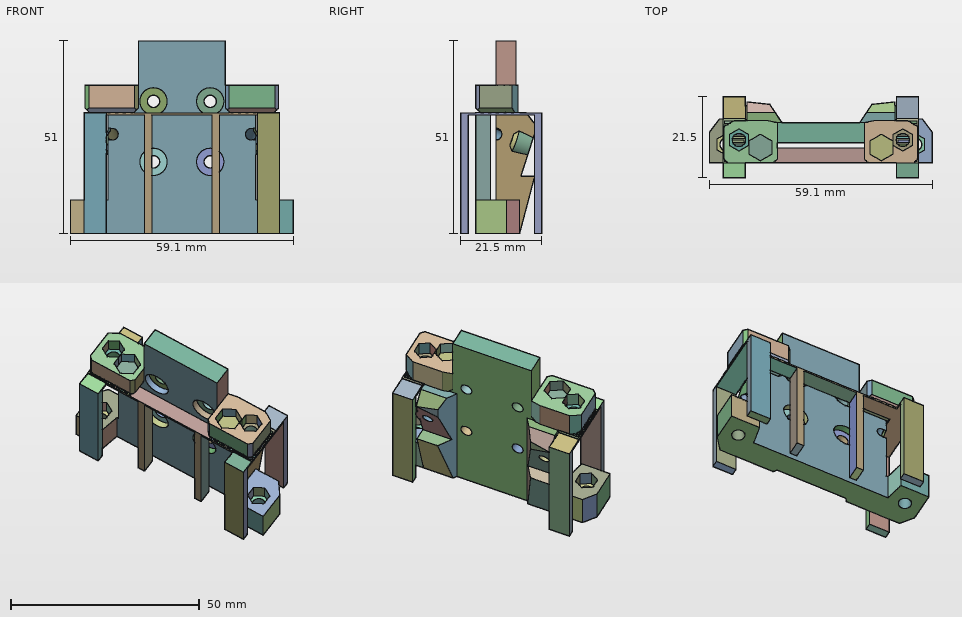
import cadquery as cq
import math

FRAME_TOP_Z = 32.0
RAFT_THICKNESS = 0.2
LOWER_TOP_Z = FRAME_TOP_Z + RAFT_THICKNESS

HEIGHT = 51.05
PLATE_FRONT_Y = -1.5
PLATE_BACK_Y = 3.9
TONGUE_HALF_X = 11.5
LOWER_HALF_X = 19.6

WING_TOP_Y = 6.5
WING_PEAK = (9.4, 28.3)
NOTCH_Z = 15.25
NOTCH_ROOT_Y = 5.2
TOOTH_TIP_Y = 8.85
WING_FOOT_Y = 4.85
WING_INNER_TIP = (13.55, 8.75)
WING_INNER_ROOT_X = 10.3

BLOCK_OUTER_X = 25.65
BLOCK_FRONT_Y = -6.8
BLOCK_TOP_Z = 39.35
BLOCK_BACK_Y = 4.45
BLOCK_BACK_OUTER_X = 22.95
BLOCK_BACK_INNER_X = 14.25
BLOCK_SIDE_BACK_Y = 2.85
BLOCK_CHAMFER = 1.0
BLOCK_UNDERCUT = 1.1

LUG_OUTER_X = 29.55
LUG_TOP_Z = 9.0
LUG_BACK_Y = 4.85
LUG_BACK_OUTER_X = 26.9
LUG_SIDE_BACK_Y = 1.3
LUG_INNER_BACK_X = 20.1
LUG_INNER_FRONT_X = 21.15

HEX_SIDES = 6
SMALL_HEX_FLATS = 5.1
SMALL_HEX_DEPTH = 4.0
LARGE_HEX_FLATS = 6.1
LARGE_HEX_DEPTH = 3.5
BOLT_BORE_D = 3.5
BLOCK_BOLT = (21.7, -0.7)
BLOCK_POCKET = (16.0, -2.7)
LUG_BOLT = (24.95, -1.9)

MOUNT_X = 7.5
MOUNT_LOW_Z = 19.05
MOUNT_PITCH_Z = 16.0
MOUNT_D = 3.2
COUNTERBORE_D = 7.2
COUNTERBORE_DEPTH = 1.8

SCREW_D = 2.9
SCREW_FRONT_X = 18.3
SCREW_Z = 26.35
SCREW_AXIS = (-0.14, 1.0, -0.35)
BOSS_D = 7.0
BOSS_START = 4.25
BOSS_LENGTH = 11.8
BOSS_CHAMFER = 1.05
RELIEF_D = 3.2
RELIEF_DEPTH = 0.7

FRAME_HALF_Y = 10.75
FRAME_INNER_X = 20.0
FRAME_OUTER_X = 25.9
SHEET = 0.6
LEG_THICKNESS = 2.0
POST_INNER_X = 7.9
POST_OUTER_X = 9.9
STRIP_BACK_Y = -2.85

RAFT_RIDGE = 0.4
RAFT_GROOVE = 0.6
RAFT_PITCH = RAFT_RIDGE + RAFT_GROOVE
RAFT_BACK_Y = 4.95
RAFT_INNER_X = TONGUE_HALF_X + BLOCK_CHAMFER
BAR_GROOVES = 11
STRIP_GROOVES = 7


def box(x0, x1, y0, y1, z0, z1):
    """Box between the given bounds."""
    return cq.Workplane("XY").box(x1 - x0, y1 - y0, z1 - z0, centered=False).translate((x0, y0, z0))


def prism(points, z0, z1):
    """Upright prism over an XY outline."""
    return cq.Workplane("XY").workplane(offset=z0).polyline(points).close().extrude(z1 - z0)


def both_sides(half):
    """A +X half feature together with its mirror image."""
    return half.union(half.mirror("YZ"))


def hex_pocket(center, flats, depth, top_z):
    """Hexagonal prism hanging from top_z, turned so that two corners point along Y."""
    half_angle = 180 / HEX_SIDES
    corner_d = flats / math.cos(math.radians(half_angle))
    pocket = cq.Workplane("XY").polygon(HEX_SIDES, corner_d).extrude(depth)
    return pocket.rotate((0, 0, 0), (0, 0, 1), half_angle).translate((*center, top_z - depth))


def bolt_hole(center, bottom_z, top_z):
    """Round bore below a small hexagonal nut pocket."""
    bore = cq.Workplane("XY").circle(BOLT_BORE_D / 2).extrude(top_z - bottom_z)
    pocket = hex_pocket(center, SMALL_HEX_FLATS, SMALL_HEX_DEPTH, top_z)
    return bore.translate((*center, bottom_z)).union(pocket)


def wing_profile(half_x):
    """Toothed YZ section of the lower plate, extruded between -half_x and half_x."""
    section = [
        (PLATE_FRONT_Y, 0),
        (WING_FOOT_Y, 0),
        (TOOTH_TIP_Y, NOTCH_Z),
        (NOTCH_ROOT_Y, NOTCH_Z),
        WING_PEAK,
        (WING_TOP_Y, LOWER_TOP_Z),
        (PLATE_FRONT_Y, LOWER_TOP_Z),
    ]
    return cq.Workplane("YZ").polyline(section).close().extrude(half_x, both=True)


def screw_cylinder(diameter, start, length):
    """Cylinder on the tilted screw axis of the +X wing."""
    plane = cq.Plane(origin=(SCREW_FRONT_X, PLATE_FRONT_Y, SCREW_Z), xDir=(1, 0, 0), normal=SCREW_AXIS)
    return cq.Workplane(plane).workplane(offset=start).circle(diameter / 2).extrude(length)


def make_wing():
    """+X wing with its screw boss, screw hole and corner relief."""
    outline = [
        (LOWER_HALF_X, PLATE_FRONT_Y),
        (LOWER_HALF_X, WING_PEAK[0]),
        WING_INNER_TIP,
        (WING_INNER_ROOT_X, PLATE_BACK_Y),
        (WING_INNER_ROOT_X, PLATE_FRONT_Y),
    ]
    wing = prism(outline, 0, LOWER_TOP_Z).intersect(wing_profile(LOWER_HALF_X))
    boss = screw_cylinder(BOSS_D, BOSS_START, BOSS_LENGTH).faces("<Y").chamfer(BOSS_CHAMFER)
    boss = boss.intersect(wing_profile(LUG_OUTER_X))
    relief = (
        cq.Workplane("YZ", origin=(LOWER_HALF_X, PLATE_FRONT_Y, SCREW_Z))
        .circle(RELIEF_D / 2)
        .extrude(-RELIEF_DEPTH)
    )
    overshoot = SCREW_D
    screw_hole = screw_cylinder(SCREW_D, -overshoot, overshoot + BOSS_START + BOSS_LENGTH)
    return wing.union(boss), screw_hole.union(relief)


def make_block():
    """+X upper block, chamfered under its front and sides."""
    outline = [
        (TONGUE_HALF_X, BLOCK_FRONT_Y + BLOCK_CHAMFER),
        (TONGUE_HALF_X + BLOCK_CHAMFER, BLOCK_FRONT_Y),
        (BLOCK_OUTER_X - BLOCK_CHAMFER, BLOCK_FRONT_Y),
        (BLOCK_OUTER_X, BLOCK_FRONT_Y + BLOCK_CHAMFER),
        (BLOCK_OUTER_X, BLOCK_SIDE_BACK_Y),
        (BLOCK_BACK_OUTER_X, BLOCK_BACK_Y),
        (BLOCK_BACK_INNER_X, BLOCK_BACK_Y),
        (TONGUE_HALF_X, PLATE_BACK_Y),
    ]
    block = prism(outline, LOWER_TOP_Z, BLOCK_TOP_Z)
    envelope = box(TONGUE_HALF_X, BLOCK_OUTER_X, BLOCK_FRONT_Y, BLOCK_BACK_Y, LOWER_TOP_Z, BLOCK_TOP_Z)
    envelope = envelope.edges("<Z and (<X or >X or <Y)").chamfer(BLOCK_UNDERCUT)
    block = block.intersect(envelope)
    block = block.cut(bolt_hole(BLOCK_BOLT, LOWER_TOP_Z, BLOCK_TOP_Z))
    return block.cut(hex_pocket(BLOCK_POCKET, LARGE_HEX_FLATS, LARGE_HEX_DEPTH, BLOCK_TOP_Z))


def make_lug():
    """+X lower block beside the wing."""
    outline = [
        (LOWER_HALF_X, PLATE_FRONT_Y),
        (LUG_INNER_BACK_X, PLATE_FRONT_Y),
        (LUG_INNER_FRONT_X, BLOCK_FRONT_Y),
        (LUG_OUTER_X, BLOCK_FRONT_Y),
        (LUG_OUTER_X, LUG_SIDE_BACK_Y),
        (LUG_BACK_OUTER_X, LUG_BACK_Y),
        (LOWER_HALF_X, LUG_BACK_Y),
    ]
    return prism(outline, 0, LUG_TOP_Z).cut(bolt_hole(LUG_BOLT, 0, LUG_TOP_Z))


def make_carriage():
    """Plate with its wings, upper blocks, lower blocks and mounting holes."""
    tongue = box(-TONGUE_HALF_X, TONGUE_HALF_X, PLATE_FRONT_Y, PLATE_BACK_Y, 0, HEIGHT)
    lower = box(-LOWER_HALF_X, LOWER_HALF_X, PLATE_FRONT_Y, PLATE_BACK_Y, 0, LOWER_TOP_Z)
    shoulder_x = TONGUE_HALF_X + BLOCK_UNDERCUT
    shoulder_top_z = LOWER_TOP_Z + BLOCK_UNDERCUT
    shoulder = box(-shoulder_x, shoulder_x, PLATE_FRONT_Y, PLATE_BACK_Y, 0, shoulder_top_z)
    wing, wing_hole = make_wing()
    body = tongue.union(lower).union(shoulder)
    for part in (wing, make_block(), make_lug()):
        body = body.union(both_sides(part))
    body = body.cut(both_sides(wing_hole))

    mounts = [(x, z) for x in (-MOUNT_X, MOUNT_X) for z in (MOUNT_LOW_Z, MOUNT_LOW_Z + MOUNT_PITCH_Z)]
    front = cq.Workplane("XZ", origin=(0, PLATE_FRONT_Y, 0)).pushPoints(mounts)
    body = body.cut(front.circle(MOUNT_D / 2).extrude(PLATE_FRONT_Y - PLATE_BACK_Y))
    return body.cut(front.circle(COUNTERBORE_D / 2).extrude(-COUNTERBORE_DEPTH))


def make_raft():
    """+X raft: slotted alternately from both ends, lengthwise X on the side bar and Y on the strip."""
    top_z = FRAME_TOP_Z + RAFT_THICKNESS
    raft = box(FRAME_INNER_X, FRAME_OUTER_X, BLOCK_FRONT_Y, RAFT_BACK_Y, FRAME_TOP_Z, top_z)
    raft = raft.union(box(RAFT_INNER_X, FRAME_INNER_X, BLOCK_FRONT_Y, STRIP_BACK_Y, FRAME_TOP_Z, top_z))
    for i in range(BAR_GROOVES):
        y = BLOCK_FRONT_Y + RAFT_RIDGE + i * RAFT_PITCH
        shift = RAFT_RIDGE if i % 2 else -RAFT_RIDGE
        x0 = FRAME_INNER_X + max(shift, 0)
        x1 = FRAME_OUTER_X + min(shift, 0)
        raft = raft.cut(box(x0, x1, y, y + RAFT_GROOVE, FRAME_TOP_Z, top_z))
    for i in range(STRIP_GROOVES):
        x = FRAME_INNER_X - RAFT_PITCH - i * RAFT_PITCH
        shift = RAFT_RIDGE if i % 2 else -RAFT_RIDGE
        y0 = BLOCK_FRONT_Y + max(shift, 0)
        y1 = STRIP_BACK_Y + min(shift, 0)
        raft = raft.cut(box(x, x + RAFT_GROOVE, y0, y1, FRAME_TOP_Z, top_z))
    return raft


def make_frame():
    """Thin top sheet on four corner legs and two middle posts, with a raft at each end."""
    sheet_z = FRAME_TOP_Z - SHEET
    leg_y = FRAME_HALF_Y - LEG_THICKNESS
    frame = box(-FRAME_OUTER_X, FRAME_OUTER_X, BLOCK_FRONT_Y, STRIP_BACK_Y, sheet_z, FRAME_TOP_Z)
    parts = [
        box(FRAME_INNER_X, FRAME_OUTER_X, -FRAME_HALF_Y, FRAME_HALF_Y, sheet_z, FRAME_TOP_Z),
        box(FRAME_INNER_X, FRAME_OUTER_X, -FRAME_HALF_Y, -leg_y, 0, FRAME_TOP_Z),
        box(FRAME_INNER_X, FRAME_OUTER_X, leg_y, FRAME_HALF_Y, 0, FRAME_TOP_Z),
        box(POST_INNER_X, POST_OUTER_X, BLOCK_FRONT_Y, STRIP_BACK_Y, 0, FRAME_TOP_Z),
        make_raft(),
    ]
    for part in parts:
        frame = frame.union(both_sides(part))
    return frame


carriage = make_carriage()
frame = make_frame()
result = cq.Compound.makeCompound([carriage.solids().val(), frame.solids().val()])